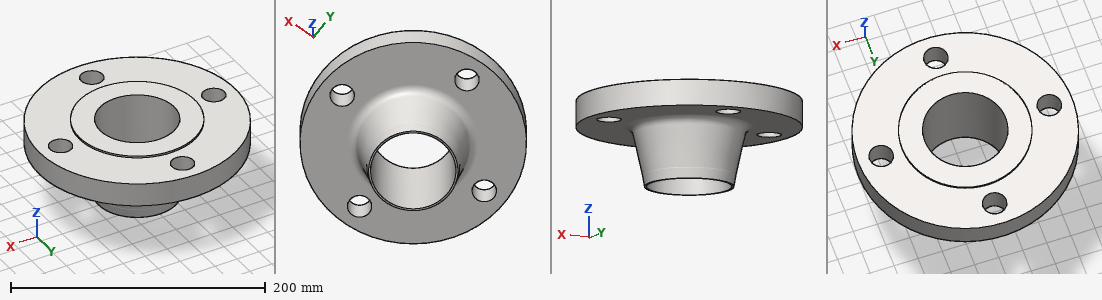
import cadquery as cq

flange_diameter = 177.8
flange_thickness = 22.35
raised_face_diameter = 104.78
raised_face_height = 1.6

overall_height = 69.85
hub_base_diameter = 90.7
weld_land_diameter = 73.03
weld_land_length = 0.5
weld_bevel_length = 7.9
weld_root_face = 1.6
hub_fillet_radius = 7.4

bore_diameter = 66.93
bolt_count = 4
bolt_hole_diameter = 19.05
bolt_circle_diameter = 139.7

weld_end_diameter = bore_diameter + 2 * weld_root_face
hub_bottom = weld_bevel_length + weld_land_length
flange_bottom = overall_height - flange_thickness
flange_top = overall_height - raised_face_height


def flange_body():
    """Revolve the outer profile of the hub, flange plate and raised face."""
    profile = (
        cq.Workplane("XZ")
        .moveTo(0, 0)
        .lineTo(weld_end_diameter / 2, 0)
        .lineTo(weld_land_diameter / 2, weld_bevel_length)
        .lineTo(weld_land_diameter / 2, hub_bottom)
        .lineTo(hub_base_diameter / 2, flange_bottom)
        .lineTo(flange_diameter / 2, flange_bottom)
        .lineTo(flange_diameter / 2, flange_top)
        .lineTo(raised_face_diameter / 2, flange_top)
        .lineTo(raised_face_diameter / 2, overall_height)
        .lineTo(0, overall_height)
        .close()
    )
    return profile.revolve(360, (0, 0, 0), (0, 1, 0))


def round_hub_root(body):
    """Fillet the circle where the hub cone meets the flange underside."""
    tolerance = 0.5
    half_box = hub_base_diameter / 2 + tolerance
    root = cq.selectors.BoxSelector(
        (-half_box, -half_box, flange_bottom - tolerance),
        (half_box, half_box, flange_bottom + tolerance),
        boundingbox=True,
    )
    return body.edges(root).fillet(hub_fillet_radius)


def bore():
    """Straight through bore."""
    return cq.Workplane("XY").circle(bore_diameter / 2).extrude(overall_height)


def bolt_holes():
    """Through holes on the bolt circle, starting on the X axis."""
    return (
        cq.Workplane("XY")
        .polarArray(bolt_circle_diameter / 2, 0, 360, bolt_count)
        .circle(bolt_hole_diameter / 2)
        .extrude(overall_height)
    )


result = round_hub_root(flange_body()).cut(bore()).cut(bolt_holes())